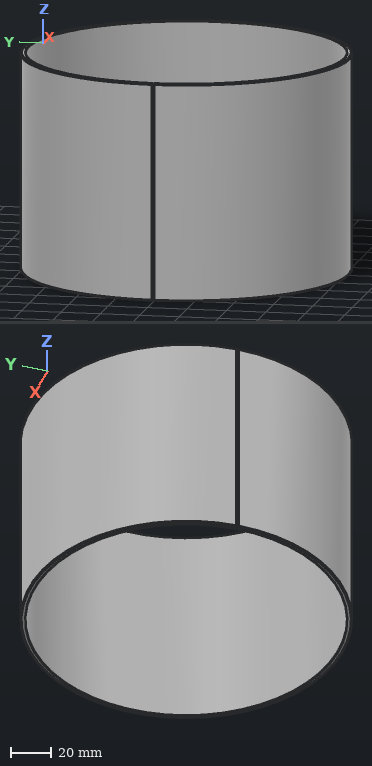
import cadquery as cq

OUTER_DIAMETER = 165.0
WALL_THICKNESS = 2.5
HEIGHT = 110.0
OUTER_CHAMFER = 0.5
INNER_CHAMFER = 0.2
SLIT_ANGLE = 1.0

OUTER_RADIUS = OUTER_DIAMETER / 2
MIDDLE_RADIUS = OUTER_RADIUS - WALL_THICKNESS / 2
FULL_TURN = 360.0


def make_wall_section():
    """Wall section on the -X side of the XZ plane, with its outer and inner corners chamfered."""
    section = cq.Sketch().rect(WALL_THICKNESS, HEIGHT)
    section = section.vertices("<X").chamfer(OUTER_CHAMFER).reset()
    section = section.vertices(">X").chamfer(INNER_CHAMFER).reset()
    return section.moved(cq.Location(cq.Vector(-MIDDLE_RADIUS, HEIGHT / 2, 0)))


def make_split_sleeve():
    """Sweep the wall around Z from -X through -Y, stopping short to leave the slit."""
    axis_start = (0, 0, 0)
    axis_end = (0, 1, 0)
    return (
        cq.Workplane("XZ")
        .placeSketch(make_wall_section())
        .revolve(FULL_TURN - SLIT_ANGLE, axis_start, axis_end)
    )


result = make_split_sleeve()